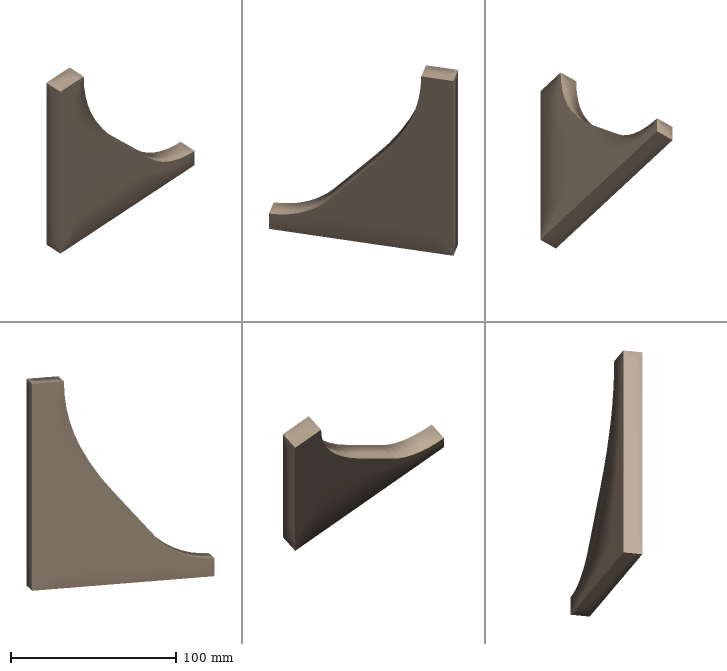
import cadquery as cq

thickness = 12.0
depth = 115.0
height = 130.0

post_width = 20.0
toe_height = 11.5

post_top = (post_width, height)
arc_joint = (30.2, 88.5)
slope_top = (51.0, 58.5)
slope_bottom = (77.5, 28.2)
toe_top = (depth, toe_height)

concave_edge = [
    cq.Edge.makeTangentArc(
        cq.Vector(0, *post_top), cq.Vector(0, 0, -1), cq.Vector(0, *arc_joint)
    )
]
concave_edge.append(
    cq.Edge.makeTangentArc(
        cq.Vector(0, *arc_joint), concave_edge[0].tangentAt(1), cq.Vector(0, *slope_top)
    )
)
concave_edge.append(cq.Edge.makeLine(cq.Vector(0, *slope_top), cq.Vector(0, *slope_bottom)))
concave_edge.append(
    cq.Edge.makeTangentArc(
        cq.Vector(0, *toe_top), cq.Vector(0, -1, 0), cq.Vector(0, *slope_bottom)
    )
)

straight_corners = [toe_top, (depth, 0), (0, 0), (0, height), post_top]
straight_sides = [
    cq.Edge.makeLine(cq.Vector(0, *start), cq.Vector(0, *end))
    for start, end in zip(straight_corners, straight_corners[1:])
]

outline = cq.Wire.assembleEdges(concave_edge + straight_sides)
bracket = cq.Solid.extrudeLinear(outline, [], cq.Vector(thickness, 0, 0))

result = cq.Workplane("XY").newObject([bracket])